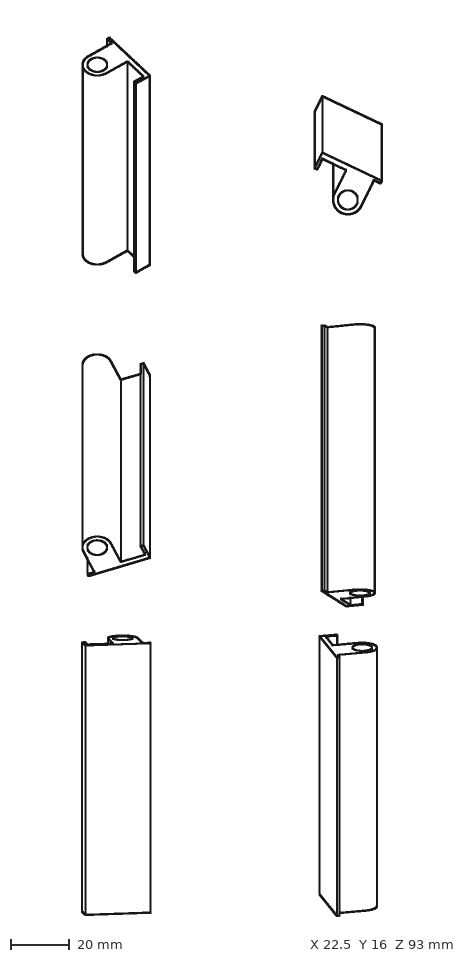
import cadquery as cq

width = 22.5
depth = 16.0
length = 93.0

plate_thickness = 1.95
thin_wall = 1.0
flange_width = 2.5
lip_depth = 6.0

barrel_width = 10.0
bore_diameter = 6.7

left = -width / 2
right = width / 2
back = depth / 2
front = -depth / 2
barrel_left = left + flange_width
barrel_right = barrel_left + barrel_width
barrel_x = (barrel_left + barrel_right) / 2
barrel_y = front + barrel_width / 2
lip_inner = right - thin_wall
plate_front = back - plate_thickness
flange_front = back - thin_wall
lip_end = back - lip_depth


def make_body():
    """Extrude the flange, barrel, plate and lip as one outline."""
    return (
        cq.Workplane("XY")
        .workplane(offset=-length / 2)
        .moveTo(left, back)
        .lineTo(left, flange_front)
        .lineTo(barrel_left, flange_front)
        .lineTo(barrel_left, barrel_y)
        .threePointArc((barrel_x, front), (barrel_right, barrel_y))
        .lineTo(barrel_right, plate_front)
        .lineTo(lip_inner, plate_front)
        .lineTo(lip_inner, lip_end)
        .lineTo(right, lip_end)
        .lineTo(right, back)
        .close()
        .extrude(length)
    )


def make_bore():
    """Cylinder that runs the full length of the barrel."""
    return (
        cq.Workplane("XY")
        .workplane(offset=-length / 2)
        .center(barrel_x, barrel_y)
        .circle(bore_diameter / 2)
        .extrude(length)
    )


result = make_body().cut(make_bore())